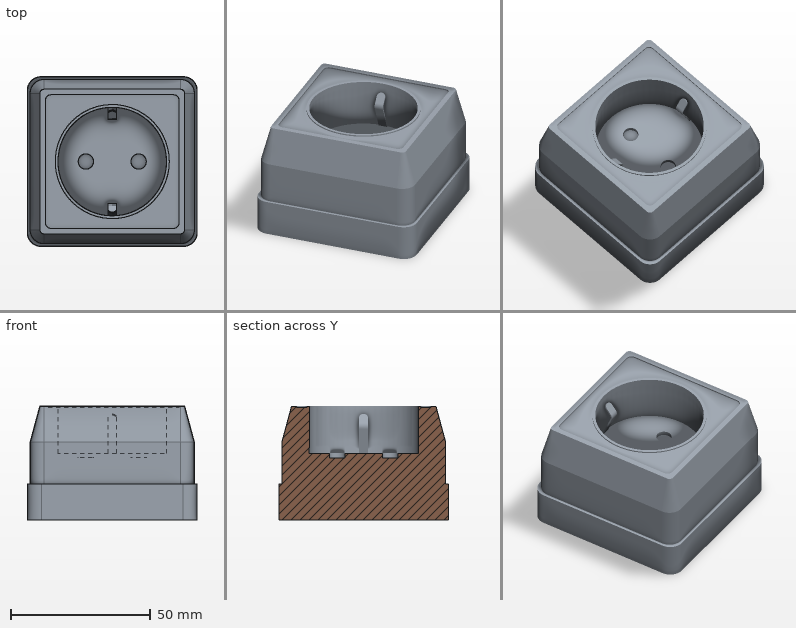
import cadquery as cq
import math

base_side = 61.0
base_height = 13.0
body_side = 59.0
body_straight_top = 28.0
height = 41.0
top_side = 52.0
corner_radius = 5.0
draft_inset = (body_side - top_side) / 2
draft_height = height - body_straight_top
draft_angle = math.degrees(math.atan2(draft_inset, draft_height))

panel_side = 48.0
panel_corner_radius = 2.0
panel_depth = 0.5
rim_diameter = 41.0
well_diameter = 39.0
well_depth = 17.0
well_floor = height - well_depth

hole_diameter = 5.5
hole_spacing = 19.0
hole_depth = 1.5

clip_width = 3.2
clip_thickness = 0.5
clip_tip_reach = 14.7
clip_tip_height = 33.9
clip_end_reach = 18.1
clip_end_height = 38.05
clip_foot_reach = well_diameter / 2 - clip_thickness
clip_embed = 0.3
clip_bend_radius = 2.15
round_end_margin = 0.005


def rounded_block(side, radius, bottom, block_height, taper=0):
    """Square block with rounded vertical corners, optionally drafted inward."""
    outline = cq.Sketch().rect(side, side).vertices().fillet(radius)
    plane = cq.Workplane("XY").workplane(offset=bottom)
    return plane.placeSketch(outline).extrude(block_height, taper=taper)


def cylinder(diameter, bottom, length):
    return cq.Workplane("XY").workplane(offset=bottom).circle(diameter / 2).extrude(length)


def earth_clip():
    """Bent strip on the +Y side of the well, with a full-round upper end."""
    foot = (clip_foot_reach, well_floor - clip_embed)
    tip = (clip_tip_reach, clip_tip_height)
    end = (clip_end_reach, clip_end_height)
    upper_length = math.hypot(end[0] - tip[0], end[1] - tip[1])
    along = ((end[0] - tip[0]) / upper_length, (end[1] - tip[1]) / upper_length)
    outward = (along[1], -along[0])

    foot_angle = math.atan2(tip[1] - foot[1], foot[0] - tip[0])
    end_angle = math.atan2(along[1], along[0])
    half_bend = (foot_angle + end_angle) / 2
    middle_angle = (end_angle - foot_angle) / 2
    miter = clip_thickness / math.sin(half_bend)
    back_tip = (tip[0] + miter * math.cos(middle_angle), tip[1] + miter * math.sin(middle_angle))
    back_end = (end[0] + clip_thickness * outward[0], end[1] + clip_thickness * outward[1])
    back_foot = (foot[0] + clip_thickness / math.sin(foot_angle), foot[1])

    strip = (
        cq.Workplane("YZ")
        .polyline([foot, tip, end, back_end, back_tip, back_foot])
        .close()
        .extrude(clip_width / 2, both=True)
    )
    strip = strip.edges(cq.selectors.NearestToPointSelector((0, *tip))).fillet(clip_bend_radius)
    back_bend_radius = clip_bend_radius - clip_thickness
    strip = strip.edges(cq.selectors.NearestToPointSelector((0, *back_tip))).fillet(back_bend_radius)
    upper_end_edges = cq.selectors.BoxSelector(
        (-clip_width, end[0] - clip_thickness, end[1] - clip_thickness),
        (clip_width, end[0] + clip_thickness, end[1] + clip_thickness),
    )
    return strip.edges(upper_end_edges).edges("not |X").fillet(clip_width / 2 - round_end_margin)


base = rounded_block(base_side, corner_radius, 0, base_height)
body = rounded_block(body_side, corner_radius, 0, body_straight_top)
drafted_top = rounded_block(body_side, corner_radius, body_straight_top, draft_height, draft_angle)
housing = base.union(body).union(drafted_top)

panel_floor = height - panel_depth
panel = rounded_block(panel_side, panel_corner_radius, panel_floor, panel_depth)
panel = panel.cut(cylinder(rim_diameter, panel_floor, panel_depth))
housing = housing.cut(panel).cut(cylinder(well_diameter, well_floor, well_depth))

hole = cylinder(hole_diameter, well_floor - hole_depth, hole_depth)
for side in (-1, 1):
    housing = housing.cut(hole.translate((side * hole_spacing / 2, 0, 0)))

clip = earth_clip()
result = housing.union(clip).union(clip.mirror("XZ"))